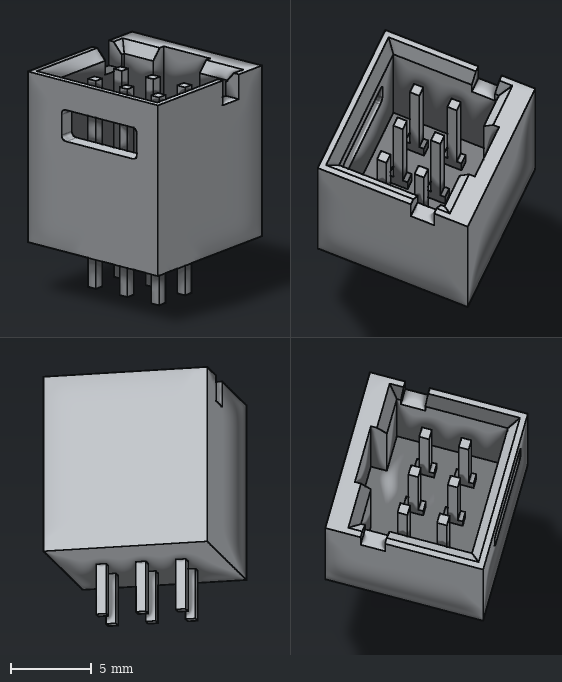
import cadquery as cq

body_width = 10.46
body_depth = 10.16
total_height = 14.35
pin_tail = 3.19
body_height = total_height - pin_tail

cavity_width = 8.39
cavity_front = 1.0
cavity_back = 8.14
floor_thickness = 2.37

lead_in_height = 0.7
mouth_width = 9.68
mouth_front = 0.4
mouth_back = 8.78

key_width = 3.74
key_back = 9.17

notch_front = 6.31
notch_back = 7.88
notch_depth = 1.62

window_left = -2.52
window_right = 3.54
window_height = 2.05
window_drop = 1.87
window_radius = 0.35

pin_size = 0.635
pin_pitch = 2.54
pin_columns = 3
pin_rows = 2
pin_front_row = 3.3
pin_tip_drop = 0.75
pin_base_length = 2 * pin_size
pin_base_height = 0.95


def block(width, y_low, y_high, z_low, z_high, x_center=0):
    """Axis-aligned block, centred in X and spanning the given Y and Z limits."""
    return (
        cq.Workplane("XY")
        .box(width, y_high - y_low, z_high - z_low, centered=(True, False, False))
        .translate((x_center, y_low, z_low))
    )


def lead_in():
    """Four-sided taper from the cavity walls out to the wider mouth."""
    return (
        cq.Workplane("XY", origin=(0, 0, body_height - lead_in_height))
        .center(0, (cavity_front + cavity_back) / 2)
        .rect(cavity_width, cavity_back - cavity_front)
        .workplane(offset=lead_in_height)
        .center(0, (mouth_front + mouth_back - cavity_front - cavity_back) / 2)
        .rect(mouth_width, mouth_back - mouth_front)
        .loft(ruled=True)
    )


def latch_window():
    """Rounded opening through the front wall into the cavity."""
    window_top = body_height - window_drop
    return block(
        window_right - window_left,
        0,
        cavity_front,
        window_top - window_height,
        window_top,
        (window_left + window_right) / 2,
    ).edges("|Y").fillet(window_radius)


def housing():
    """Shrouded housing with its cavity, key slot, side notches and window."""
    shell = block(body_width, 0, body_depth, 0, body_height)
    shell = shell.cut(block(cavity_width, cavity_front, cavity_back, floor_thickness, body_height))
    shell = shell.cut(lead_in())
    shell = shell.cut(block(key_width, cavity_front, key_back, floor_thickness, body_height))
    shell = shell.cut(block(body_width, notch_front, notch_back, body_height - notch_depth, body_height))
    return shell.cut(latch_window())


def pin_positions():
    """X and Y centre of every pin."""
    return [
        ((column - (pin_columns - 1) / 2) * pin_pitch, pin_front_row + row * pin_pitch)
        for column in range(pin_columns)
        for row in range(pin_rows)
    ]


def pin_block(x, y, length, z_low, z_high):
    """Pin-wide block of the given Y length, centred on a pin position."""
    return block(pin_size, y - length / 2, y + length / 2, z_low, z_high, x)


result = housing()
for x, y in pin_positions():
    base = pin_block(x, y, pin_base_length, floor_thickness, floor_thickness + pin_base_height)
    pin = pin_block(x, y, pin_size, -pin_tail, body_height - pin_tip_drop)
    result = result.union(base).union(pin)